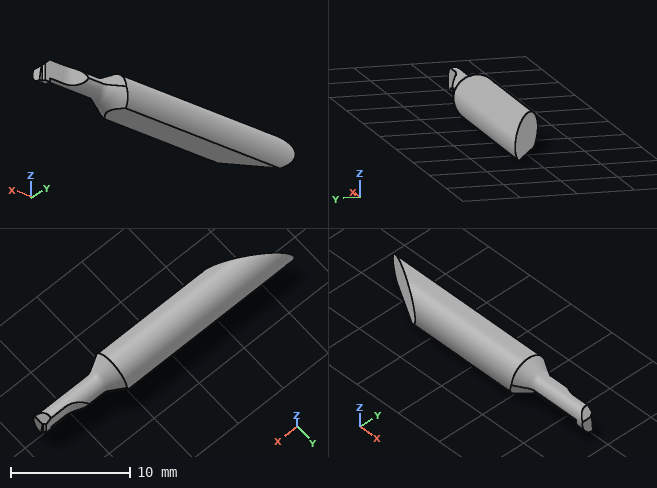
import cadquery as cq
import math


shank_radius = 2.0
shank_end_x = 18.63
flat_z = -1.48
bevel_angle = math.radians(30)

neck_radius = 1.1
taper_angle = math.radians(30)
taper_blend_radius = 1.0
neck_lift = 0.36
head_start_x = 25.52

tip_x = 26.5
rake_y = 0.27
rake_start_x = 22.0
runout_angle = math.radians(30)
runout_blend_radius = 2.2
tip_land_y = 0.0
tip_land_start_x = 26.22
tip_step_run = 0.12
tip_chamfer_start_x = 25.57
end_edge_z = 0.38
head_bottom_z = -1.05

margin = 1.0
shank_diameter = 2 * shank_radius


def blended_corner(corner_x, corner_y, angle, radius):
    """Start, middle and end of an arc easing a line falling at angle into one along +X."""
    tangent = radius * math.tan(angle / 2)
    start = (corner_x - tangent * math.cos(angle), corner_y + tangent * math.sin(angle))
    end = (corner_x + tangent, corner_y)
    middle = (
        end[0] - radius * math.sin(angle / 2),
        corner_y + radius * (1 - math.cos(angle / 2)),
    )
    return start, middle, end


def revolved_bar(back_points, end_x):
    """Revolve the given back outline, the taper and the neck about the X axis."""
    taper_length = (shank_radius - neck_radius) / math.tan(taper_angle)
    blend_start, blend_middle, blend_end = blended_corner(
        shank_end_x + taper_length, neck_radius, taper_angle, taper_blend_radius
    )
    back_x = back_points[0][0]
    return (
        cq.Workplane("XY")
        .polyline([(back_x, 0)] + back_points + [blend_start])
        .threePointArc(blend_middle, blend_end)
        .lineTo(end_x, neck_radius)
        .lineTo(end_x, 0)
        .close()
        .revolve(360, (0, 0, 0), (1, 0, 0))
    )


def relieve_underside(bar):
    """Trim the taper and neck to a copy of themselves lifted along Z."""
    relief_start_x = shank_end_x - margin
    relief_length = head_start_x - relief_start_x
    relief_radius = shank_radius + margin * math.tan(taper_angle)
    lifted_taper = revolved_bar([(relief_start_x, relief_radius)], head_start_x)
    lifted_taper = lifted_taper.translate((0, 0, neck_lift))
    below = (
        cq.Workplane("XY")
        .box(relief_length, 2 * shank_diameter, shank_diameter, centered=(False, True, False))
        .translate((relief_start_x, 0, neck_lift / 2 - shank_diameter))
    )
    return bar.cut(below.cut(lifted_taper))


def rear_bevel():
    """Wedge removed behind the slanted rear face."""
    length = shank_diameter / math.tan(bevel_angle)
    overshoot = margin / math.tan(bevel_angle)
    return (
        cq.Workplane("XY")
        .moveTo(-overshoot, shank_radius + margin)
        .lineTo(length + overshoot, -shank_radius - margin)
        .lineTo(-overshoot, -shank_radius - margin)
        .close()
        .extrude(shank_radius + margin, both=True)
    )


def shank_flat():
    """Block removed below the clamping flat."""
    return (
        cq.Workplane("XY")
        .box(tip_x + margin, 2 * shank_diameter, shank_diameter, centered=(False, True, False))
        .translate((0, 0, flat_z - shank_diameter))
    )


def rake_cut():
    """Side flat with its sloped runout, stepping down to the land at the tip."""
    corner_x = rake_start_x + (neck_radius - rake_y) / math.tan(runout_angle)
    blend_start, blend_middle, blend_end = blended_corner(
        corner_x, rake_y, runout_angle, runout_blend_radius
    )
    top_y = neck_radius + margin
    top_x = rake_start_x - margin / math.tan(runout_angle)
    return (
        cq.Workplane("XY")
        .moveTo(top_x, top_y)
        .lineTo(*blend_start)
        .threePointArc(blend_middle, blend_end)
        .lineTo(tip_land_start_x - tip_step_run, rake_y)
        .lineTo(tip_land_start_x, tip_land_y)
        .lineTo(tip_x + margin, tip_land_y)
        .lineTo(tip_x + margin, top_y)
        .close()
        .extrude(neck_radius + margin / 2, both=True)
    )


def head_outline():
    """Side outline kept at the tip: 45 degree chamfer, then a leaning end face."""
    end_edge_x = tip_chamfer_start_x + neck_radius - end_edge_z
    return (
        cq.Workplane("XZ")
        .moveTo(-margin, shank_diameter)
        .lineTo(tip_chamfer_start_x + neck_radius - shank_diameter, shank_diameter)
        .lineTo(end_edge_x, end_edge_z)
        .lineTo(tip_x, head_bottom_z)
        .lineTo(head_start_x, head_bottom_z)
        .lineTo(head_start_x, -shank_diameter)
        .lineTo(-margin, -shank_diameter)
        .close()
        .extrude(shank_diameter, both=True)
    )


bar = revolved_bar([(0, shank_radius), (shank_end_x, shank_radius)], tip_x)
bar = relieve_underside(bar)
bar = bar.cut(rear_bevel()).cut(shank_flat()).cut(rake_cut())
result = bar.intersect(head_outline())